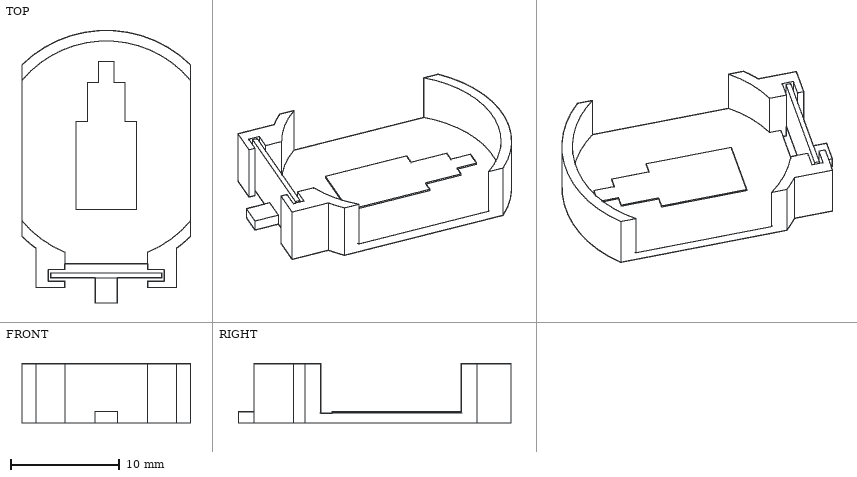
import cadquery as cq


housing_width = 15.6
housing_height = 5.5
floor_thickness = 0.9
pocket_radius = 10.15
wall_thickness = 0.98
outer_radius = pocket_radius + wall_thickness
floor_front_y = -10.48

leg_front_y = -12.68
leg_outer_x = 6.51
leg_inner_x = 3.85
groove_outer_x = 5.35
groove_back_y = -11.0
groove_front_y = -12.07

contact_half_width = 5.15
contact_thickness = 0.45
contact_center_y = (groove_back_y + groove_front_y) / 2
contact_front_y = contact_center_y - contact_thickness / 2
contact_back_y = contact_center_y + contact_thickness / 2
tab_half_width = 1.04
tab_height = 1.05
tab_front_y = -14.11

strip_thickness = 0.15
strip_front_y = -5.45
strip_wide_half, strip_wide_end_y = 2.78, 2.7
strip_middle_half, strip_middle_end_y = 1.72, 6.29
strip_tip_half, strip_tip_end_y = 0.73, 8.25


def centered_block(half_width, front_y, back_y, bottom_z, top_z):
    """Box symmetric about X = 0, between the given Y and Z limits."""
    return cq.Workplane("XY").box(
        2 * half_width, back_y - front_y, top_z - bottom_z, centered=(True, False, False)
    ).translate((0, front_y, bottom_z))


def make_housing():
    body = cq.Workplane("XY").circle(outer_radius).extrude(housing_height)
    body = body.intersect(
        centered_block(housing_width / 2, -outer_radius, outer_radius, 0, housing_height)
    )
    body = body.union(centered_block(leg_outer_x, leg_front_y, 0, 0, housing_height))

    pocket = (
        cq.Workplane("XY").workplane(offset=floor_thickness)
        .circle(pocket_radius).extrude(housing_height - floor_thickness)
    )
    body = body.cut(pocket)

    body = body.cut(centered_block(leg_inner_x, leg_front_y, 0, floor_thickness, housing_height))
    body = body.cut(centered_block(leg_inner_x, leg_front_y, floor_front_y, 0, housing_height))

    return body.cut(centered_block(groove_outer_x, groove_front_y, groove_back_y, 0, housing_height))


def make_contact_plate():
    plate = centered_block(contact_half_width, contact_front_y, contact_back_y, 0, housing_height)
    tab = centered_block(tab_half_width, tab_front_y, contact_front_y, 0, tab_height)
    return plate.union(tab)


def make_contact_strip():
    right_side = [
        (strip_wide_half, strip_front_y),
        (strip_wide_half, strip_wide_end_y),
        (strip_middle_half, strip_wide_end_y),
        (strip_middle_half, strip_middle_end_y),
        (strip_tip_half, strip_middle_end_y),
        (strip_tip_half, strip_tip_end_y),
    ]
    left_side = [(-x, y) for x, y in reversed(right_side)]
    return (
        cq.Workplane("XY").workplane(offset=floor_thickness)
        .polyline(right_side + left_side).close().extrude(strip_thickness)
    )


housing = make_housing()
contact_plate = make_contact_plate()
contact_strip = make_contact_strip()

result = cq.Compound.makeCompound([housing.val(), contact_plate.val(), contact_strip.val()])